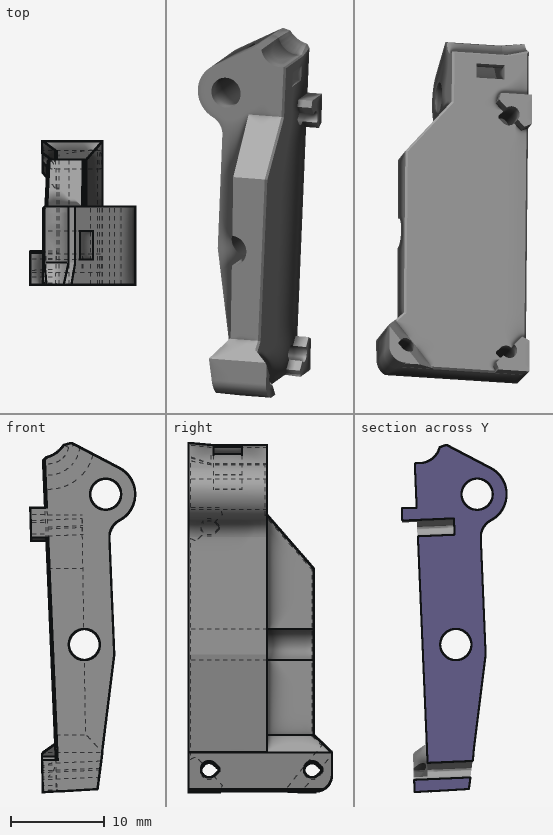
import cadquery as cq
import math

depth = 15.35
block_depth = 8.4
plate_depth = 13.4

panel_foot = (2.88, 0.07)
panel_top = (1.35, 35.9)
lean = (panel_foot[0] - panel_top[0]) / (panel_top[1] - panel_foot[1])
panel_chamfer = 0.22

hole_diameter = 3.3
upper_hole = (8.05, 31.85)
lower_hole = (5.8, 15.8)
lobe_radius = 3.17

belly = (9.0, 14.7)
neck = (8.48, 27.25)
neck_middle = (8.8, 28.38)

roof_slope = 0.523
roof_length = math.hypot(1, roof_slope)
roof_tangent = (
    upper_hole[0] + lobe_radius * roof_slope / roof_length,
    upper_hole[1] + lobe_radius / roof_length,
)

base_corner = (1.35, 0)
base_right = (7.2, 0.35)
flange_height = 4.25
shoulder_height = 6.12
flange_x = 7.73
flange_corner_radius = 1.8
flange_foot = 0.07

slope_top = 29.65
slope_bottom = 23.9
plate_x_top = 5.53
plate_x_foot = 6.0

scoop_centre = (1.98, 37.25)
scoop_radius = 2.15
rear_crest_x = 4.8
front_crest_x = 4.4
scoop_bend_y = 2.4
channel_inner = 3.35
channel_outer = 4.9
channel_y = (2.7, 5.75)

pad_root_x = 3.75
pad_root_z = 0.15
pad_face_x = 1.2
pad_width = 3.4
pad_tip_y = 3.62
pad_shoulder_y = 0.82
tab_top = 30.45
tab_floor = 26.5
screw_radius = 0.85
screw_tip = 1.12
upper_screw_depth = 5.6
screw_z = 2.28
front_screw_y = 2.2
rear_screw_y = 13.2
upper_screw_z = 28.23

clear = 18.67


def roof_z(x):
    return roof_tangent[1] + roof_slope * (roof_tangent[0] - x)


def panel_x(z):
    return panel_foot[0] - lean * (z - panel_foot[1])


def along_y(outline, start, end):
    """Extrude an (x, z) outline from y = start to y = end."""
    return outline.extrude(start - end).translate((0, start, 0))


def polygon_along_y(points, start, end):
    return along_y(cq.Workplane("XZ").polyline(points).close(), start, end)


def polygon_along_x(points, start, end):
    """Extrude a (y, z) polygon from x = start to x = end."""
    return cq.Workplane("YZ", origin=(start, 0, 0)).polyline(points).close().extrude(end - start)


def make_block():
    lobe_side = (upper_hole[0] + lobe_radius, upper_hole[1])
    neck_angle = math.radians(-60)
    lobe_end = (
        upper_hole[0] + lobe_radius * math.cos(neck_angle),
        upper_hole[1] + lobe_radius * math.sin(neck_angle),
    )
    outline = (
        cq.Workplane("XZ").moveTo(*panel_foot).lineTo(*base_right)
        .lineTo(*belly).lineTo(*neck)
        .threePointArc(neck_middle, lobe_end)
        .threePointArc(lobe_side, roof_tangent)
        .lineTo(panel_top[0], roof_z(panel_top[0])).lineTo(*panel_top).close()
    )
    return along_y(outline, 0, block_depth)


def make_plate():
    plate = polygon_along_y(
        [panel_foot, (plate_x_foot, base_right[1]), (plate_x_top, slope_top),
         (panel_x(slope_top), slope_top)],
        0, plate_depth,
    )
    rear_slope = polygon_along_x(
        [(block_depth, slope_top), (plate_depth, slope_bottom), (depth, slope_top)], 0, clear
    )
    return plate.cut(rear_slope)


def make_flange():
    """Base flange with mitred slopes on its rear and +X sides."""
    flange = polygon_along_y(
        [panel_foot, base_right, (flange_x, flange_height), (plate_x_foot, shoulder_height),
         (panel_x(shoulder_height), shoulder_height)],
        0, depth,
    )
    rear_slope = polygon_along_x(
        [(plate_depth, shoulder_height), (depth, flange_height), (depth, shoulder_height)], 0, clear
    )
    return flange.cut(rear_slope)


def make_corner_waste():
    """Material outside the rounded lower rear corner of the flange."""
    r = flange_corner_radius
    bend = r * (1 - math.sqrt(0.5))
    return (
        cq.Workplane("YZ").moveTo(depth - r, flange_foot)
        .threePointArc((depth - bend, flange_foot + bend), (depth, flange_foot + r))
        .lineTo(depth, -r).lineTo(depth - r, -r).close().extrude(clear)
    )


def chamfer_panel(body):
    normal = cq.Vector(-1, 0, -lean)
    panel = cq.selectors.ParallelDirSelector(normal, 1e-3)
    return body.faces(panel).faces("<X").edges().chamfer(panel_chamfer)


def scoop_section(y, corner, start, middle, ridge, crest):
    """Closed section of the scoop cutter, from the panel corner up to the roof."""
    return (
        cq.Workplane("XZ", origin=(0, y, 0)).moveTo(*corner).lineTo(*start)
        .threePointArc(middle, ridge).lineTo(*crest)
        .lineTo(crest[0], clear + crest[1]).lineTo(-clear, clear + crest[1])
        .lineTo(-clear, corner[1]).close()
    )


def make_scoop():
    def on_scoop(degrees):
        a = math.radians(degrees)
        return (scoop_centre[0] + scoop_radius * math.cos(a), scoop_centre[1] + scoop_radius * math.sin(a))

    rear = ((1.35, 34.95), on_scoop(-102), on_scoop(-56), on_scoop(-11), (rear_crest_x, roof_z(rear_crest_x)))
    front = ((1.4, 35.47), (1.75, 35.8), (2.8, 36.3), (3.6, 37.1), (front_crest_x, roof_z(front_crest_x)))
    straight = scoop_section(scoop_bend_y, *rear).extrude(-clear)
    bend_ends = [scoop_section(0, *front).val(), scoop_section(scoop_bend_y, *rear).val()]
    bend = cq.Solid.makeLoft(bend_ends, True)
    return straight.union(cq.Workplane(bend))


def make_tie_channel():
    ring = cq.Workplane("XZ").center(*scoop_centre).circle(channel_outer).circle(channel_inner)
    return along_y(ring, *channel_y)


def make_pad_slab():
    """Slab whose -X side is the shared face of the lower pads."""
    return polygon_along_y(
        [base_corner, (pad_face_x, shoulder_height), (pad_root_x, shoulder_height),
         (pad_root_x, pad_root_z)],
        0, depth,
    )


def make_front_pads():
    lower = make_pad_slab().intersect(polygon_along_x(
        [(0, 0), (0, 3.45), (pad_shoulder_y, 3.8), (pad_tip_y, 0.75), (pad_width, 0.25), (pad_width, 0)],
        0, clear,
    ))
    upper = polygon_along_y(
        [(0, tab_top), (pad_root_x, tab_top), (pad_root_x, tab_floor), (0.1, tab_floor)], 0, depth
    ).intersect(polygon_along_x(
        [(0, 27.22), (0, tab_top), (pad_width, tab_top), (pad_tip_y, 29.7), (pad_shoulder_y, 26.85)], 0, clear
    ))
    return lower.union(upper)


def make_rear_pad():
    """Corner pad that ramps up from the panel along a diagonal."""
    corner = (17.18, -1.12)
    rise = 1.26

    def triangle(x, foot_y):
        peak = (corner[0], corner[1] + rise * (corner[0] - foot_y))
        return cq.Workplane("YZ", origin=(x, 0, 0)).polyline([(foot_y, corner[1]), corner, peak]).close()

    face_foot_y = 11.3
    root_x = 2.75
    root_foot_y = 9.25
    ramp_ends = [triangle(pad_face_x, face_foot_y).val(), triangle(root_x, root_foot_y).val()]
    ramp = cq.Solid.makeLoft(ramp_ends, True)
    pad = cq.Workplane(ramp).union(triangle(root_x, root_foot_y).extrude(pad_root_x - root_x))
    plan = polygon_along_x(
        [(0, 0), (0, shoulder_height), (plate_depth, shoulder_height), (depth, flange_height), (depth, 0)],
        0, clear,
    )
    return pad.intersect(make_pad_slab()).intersect(plan)


def make_screw_hole(y, z, length):
    """Teardrop hole square to the panel, pointing toward +Y."""
    plane = cq.Plane(origin=(0, y, z - lean * panel_x(z)), xDir=(0, 1, 0), normal=(1, 0, lean))
    side = screw_radius * math.sqrt(0.5)
    tip = 2 * side - screw_tip
    return (
        cq.Workplane(plane).moveTo(side, -side).threePointArc((-screw_radius, 0), (side, side))
        .lineTo(screw_tip, tip).lineTo(screw_tip, -tip).close().extrude(length)
    )


body = chamfer_panel(make_block().union(make_plate()).union(make_flange()).clean())
body = body.cut(make_scoop())
body = body.union(make_front_pads()).union(make_rear_pad())
body = body.cut(make_corner_waste()).cut(make_tie_channel())

for x, z in (upper_hole, lower_hole):
    cross_hole = cq.Workplane("XZ").center(x, z).circle(hole_diameter / 2)
    body = body.cut(along_y(cross_hole, 0, depth))

body = body.cut(make_screw_hole(front_screw_y, screw_z, clear))
body = body.cut(make_screw_hole(rear_screw_y, screw_z, clear))
body = body.cut(make_screw_hole(front_screw_y, upper_screw_z, upper_screw_depth))

result = body